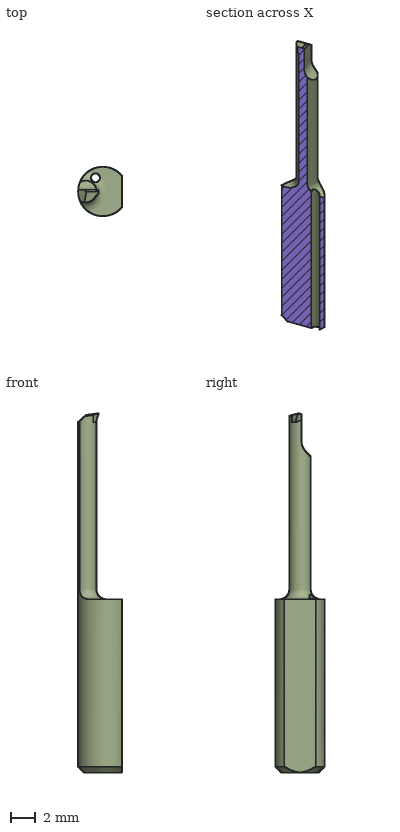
import cadquery as cq
import math

total_height = 29.0

shank_radius = 2.0
shank_height = 14.0
shank_chamfer = 0.5
flat_x = 1.55

neck_radius = 0.875
neck_right_x = -0.5
neck_x = neck_right_x - neck_radius
root_fillet = 0.8

hole_diameter = 0.7
hole_x = -0.59
hole_y = 1.1

rake_y = 0.13
rake_bottom_z = 26.75
runout_radius = 1.2
runout_angle = math.radians(45)

tip_x = -0.32
tip_clearance = 0.15
cut_margin = 1.0
bevel_x = -1.33
bevel_drop = 0.13
bevel_end_drop = 0.73

edge_bevel_y = -0.04
edge_bevel_drop = 0.1

tooth_height = 0.75
tooth_root_x = -0.55
tooth_back_x = -0.75
tooth_front_y = -0.65
tooth_corner_y = -0.13


def make_shank():
    shank = cq.Workplane("XY").circle(shank_radius).extrude(shank_height)
    return shank.faces("<Z").chamfer(shank_chamfer)


def make_neck():
    """Revolved bar with a filleted root, kept inside the shank cylinder."""
    root_radius = neck_radius + root_fillet
    fillet_top = shank_height + root_fillet
    mid_offset = root_fillet * math.sqrt(0.5)
    profile = (
        cq.Workplane("XZ", origin=(neck_x, 0, 0))
        .moveTo(0, shank_height)
        .lineTo(root_radius, shank_height)
        .threePointArc((root_radius - mid_offset, fillet_top - mid_offset), (neck_radius, fillet_top))
        .lineTo(neck_radius, total_height)
        .lineTo(0, total_height)
        .close()
    )
    neck = profile.revolve(360, (0, 0, 0), (0, 1, 0))
    envelope = cq.Workplane("XY").circle(shank_radius).extrude(total_height)
    return neck.intersect(envelope)


def make_tooth():
    """Pointed overhang, narrowing downwards and away from the rake face."""
    outline = [
        (tooth_back_x, rake_y),
        (tip_x, rake_y),
        (tip_x, tooth_corner_y),
        (tooth_back_x, tooth_front_y),
    ]
    tooth = (
        cq.Workplane("XY", origin=(0, 0, total_height - tooth_height))
        .polyline(outline)
        .close()
        .extrude(tooth_height)
    )
    flank = (
        cq.Workplane("XZ")
        .polyline(
            [
                (tip_x, total_height),
                (tip_x, total_height - tooth_height),
                (tooth_root_x, total_height - tooth_height),
            ]
        )
        .close()
        .extrude(shank_radius, both=True)
    )
    return tooth.cut(flank)


def make_rake_cut():
    """Material removed behind the rake face."""
    arc_y = rake_y + runout_radius * (1 - math.cos(runout_angle))
    arc_z = rake_bottom_z - runout_radius * math.sin(runout_angle)
    mid_y = rake_y + runout_radius * (1 - math.cos(runout_angle / 2))
    mid_z = rake_bottom_z - runout_radius * math.sin(runout_angle / 2)
    slope_end_z = arc_z - (shank_radius - arc_y) / math.tan(runout_angle)
    return (
        cq.Workplane("YZ")
        .moveTo(rake_y, total_height)
        .lineTo(rake_y, rake_bottom_z)
        .threePointArc((mid_y, mid_z), (arc_y, arc_z))
        .lineTo(shank_radius, slope_end_z)
        .lineTo(shank_radius, total_height)
        .close()
        .extrude(shank_radius, both=True)
    )


def make_end_cut():
    """Material above the bevelled tip, which falls away from a ridge beside the rake face."""
    bevel_slope = (bevel_end_drop - bevel_drop) / (shank_radius + bevel_x)

    def section(y, drop):
        top = total_height - drop
        return [
            cq.Vector(tip_x, y, top),
            cq.Vector(bevel_x - drop / bevel_slope, y, top - bevel_drop),
            cq.Vector(-shank_radius, y, total_height - bevel_end_drop),
            cq.Vector(-shank_radius, y, total_height + cut_margin),
            cq.Vector(tip_x, y, total_height + cut_margin),
        ]

    sections = [
        section(rake_y, edge_bevel_drop),
        section(edge_bevel_y, 0),
        section(-shank_radius / 2, tip_clearance),
    ]
    wires = [cq.Wire.makePolygon(points, close=True) for points in sections]
    return cq.Workplane(obj=cq.Solid.makeLoft(wires, True))


def make_flat_cut():
    """Clamping flat along the whole shank."""
    return cq.Workplane("XY").box(
        shank_radius, 2 * shank_radius, shank_height, centered=(False, True, False)
    ).translate((flat_x, 0, 0))


def make_coolant_hole():
    return (
        cq.Workplane("XY")
        .center(hole_x, hole_y)
        .circle(hole_diameter / 2)
        .extrude(total_height)
    )


result = (
    make_shank()
    .union(make_neck())
    .union(make_tooth())
    .cut(make_rake_cut())
    .cut(make_end_cut())
    .cut(make_flat_cut())
    .cut(make_coolant_hole())
)